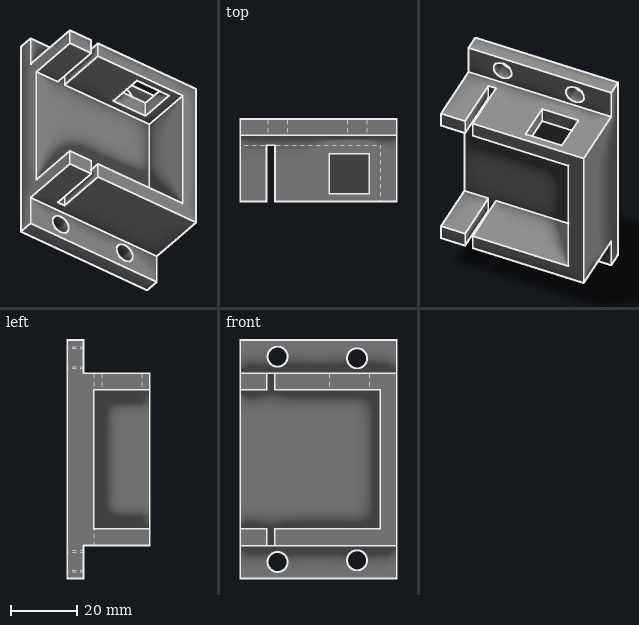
import cadquery as cq

width = 47.3
depth = 25.0
height = 72.0

plate_thickness = 5.0
flange_height = 10.0
body_height = height - 2 * flange_height

wall = 5.05
cavity_depth = 17.0
cavity_width = width - wall
cavity_height = body_height - 2 * wall

slot_left = 8.0
slot_width = 2.5

window_size = 12.0
window_left = 26.9
window_front = 2.45

hole_diameter = 6.0
left_hole = (11.3, 30.95)
right_hole = (35.3, 30.45)


def box(x, y, z, size_x, size_y, size_z):
    """Box from its left front edge (x, y), centred on height z."""
    return cq.Workplane("XY").box(size_x, size_y, size_z, centered=(False, False, True)).translate((x, y, z))


plate = box(0, depth - plate_thickness, 0, width, plate_thickness, height)
body = box(0, 0, 0, width, depth, body_height)
cavity = box(0, 0, 0, cavity_width, cavity_depth, cavity_height)
slot = box(slot_left, 0, 0, slot_width, cavity_depth, body_height)
top_wall_middle = (body_height - wall) / 2
window = box(window_left, window_front, top_wall_middle, window_size, window_size, wall)

hole_centers = [(x, side * z) for x, z in (left_hole, right_hole) for side in (1, -1)]
holes = (
    cq.Workplane("XZ", origin=(0, depth, 0))
    .pushPoints(hole_centers)
    .circle(hole_diameter / 2)
    .extrude(plate_thickness)
)

result = plate.union(body).cut(cavity).cut(slot).cut(window).cut(holes)